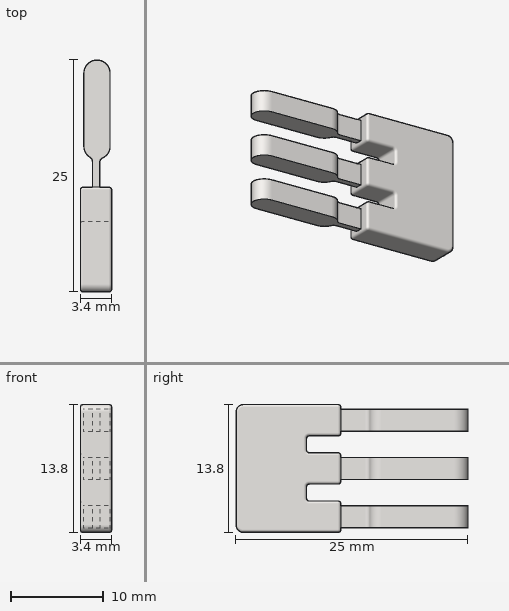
import cadquery as cq
import math

housing_thickness = 3.4
housing_length = 11.3
finger_count = 3
finger_height = 3.4
finger_pitch = 5.2
slot_depth = 3.7
slot_corner_radius = 0.3
front_corner_radius = 0.8
edge_radius = 0.3

overall_length = 25.0
pin_height = 2.4
stem_width = 0.8
blade_width = 2.85
blade_straight_length = 7.9
shoulder_radius = 1.35
blade_offset = 0.1
neck_radius = 0.55
stem_embed = 1.0

housing_height = finger_height + (finger_count - 1) * finger_pitch
slot_height = finger_pitch - finger_height
front_y = -overall_length / 2
finger_end_y = front_y + housing_length
slot_floor_y = finger_end_y - slot_depth
pin_tip_y = overall_length / 2
tip_radius = blade_width / 2
tip_center_y = pin_tip_y - tip_radius
shoulder_y = tip_center_y - blade_straight_length


def make_housing():
    """Slotted block with rounded corners and all rims rounded."""
    block = cq.Workplane("XY").box(housing_thickness, housing_length, housing_height)
    block = block.translate((0, front_y + housing_length / 2, 0))
    block = block.edges("|X and <Y").fillet(front_corner_radius)

    for index in range(finger_count - 1):
        slot_z = (index - (finger_count - 2) / 2) * finger_pitch
        slot = cq.Workplane("XY").box(housing_thickness, slot_depth, slot_height)
        slot = slot.edges("|X and <Y").fillet(slot_corner_radius)
        block = block.cut(slot.translate((0, slot_floor_y + slot_depth / 2, slot_z)))

    block = block.faces(">Y").edges("|X").fillet(edge_radius)
    return block.faces("<X or >X").edges().fillet(edge_radius)


def neck_points(side):
    """Points down one side of the neck, where the shoulder arc runs into the fillet on the stem.

    side is -1 or +1 in X. Returns the middle of the shoulder arc, the point where the two
    arcs touch, the middle of the fillet and the point where the fillet meets the stem.
    """
    shoulder_x = blade_offset + side * (blade_width / 2 - shoulder_radius)
    fillet_x = side * (stem_width / 2 + neck_radius)
    across = side * (fillet_x - shoulder_x)
    sweep = math.acos(across / (shoulder_radius + neck_radius))
    fillet_y = shoulder_y - (shoulder_radius + neck_radius) * math.sin(sweep)

    def on_shoulder(angle):
        return (
            shoulder_x + side * shoulder_radius * math.cos(angle),
            shoulder_y - shoulder_radius * math.sin(angle),
        )

    def on_fillet(angle):
        return (
            fillet_x - side * neck_radius * math.cos(angle),
            fillet_y + neck_radius * math.sin(angle),
        )

    return on_shoulder(sweep / 2), on_shoulder(sweep), on_fillet(sweep / 2), on_fillet(0)


def make_pin():
    """One pin centred on Z = 0, its stem reaching into the housing."""
    left_x = blade_offset - blade_width / 2
    right_x = blade_offset + blade_width / 2
    stem_root_y = finger_end_y - stem_embed
    left_shoulder, left_touch, left_fillet, left_stem = neck_points(-1)
    right_shoulder, right_touch, right_fillet, right_stem = neck_points(1)

    outline = (
        cq.Workplane("XY")
        .moveTo(-stem_width / 2, stem_root_y)
        .lineTo(*left_stem)
        .threePointArc(left_fillet, left_touch)
        .threePointArc(left_shoulder, (left_x, shoulder_y))
        .lineTo(left_x, tip_center_y)
        .threePointArc((blade_offset, pin_tip_y), (right_x, tip_center_y))
        .lineTo(right_x, shoulder_y)
        .threePointArc(right_shoulder, right_touch)
        .threePointArc(right_fillet, right_stem)
        .lineTo(stem_width / 2, stem_root_y)
        .close()
    )
    return outline.extrude(pin_height / 2, both=True)


result = make_housing()
for finger in range(finger_count):
    finger_z = (finger - (finger_count - 1) / 2) * finger_pitch
    result = result.union(make_pin().translate((0, 0, finger_z)))